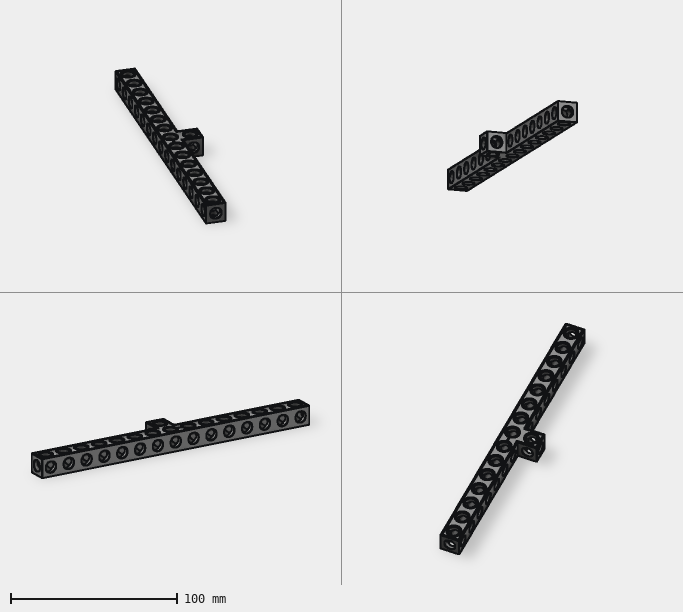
import cadquery as cq

length = 187.5
hole_count = 15
hole_diameter = 7.0
rim_diameter = 9.2
chamfer = 0.3
border_width = 1.0
recess_depth = 0.2
rib_width = 0.5

pitch = length / hole_count
half_cell = pitch / 2

bar_centres = [(i - (hole_count - 1) / 2) * pitch for i in range(hole_count)]
side_centres = [x for x in bar_centres if abs(x) > half_cell]
cell_centres = [(x, 0) for x in bar_centres] + [(0, pitch)]


def tee(height, inset=0.0):
    """T-shaped block centred on the XY plane: a long bar with a one-cell stem at mid-length."""
    bar = cq.Workplane("XY").box(length - 2 * inset, pitch - 2 * inset, height)
    stem = (
        cq.Workplane("XY")
        .box(pitch - 2 * inset, 2 * pitch - 2 * inset, height)
        .translate((0, half_cell, 0))
    )
    return bar.union(stem).clean()


def chamfered_body():
    """Block chamfered on every edge except the two vertical inside corners."""
    inside_corners = cq.selectors.BoxSelector(
        (-pitch, half_cell - chamfer, -chamfer), (pitch, half_cell + chamfer, chamfer)
    )
    return tee(pitch).edges(cq.selectors.InverseSelector(inside_corners)).chamfer(chamfer)


def top_recess():
    """Shallow pocket in the top face, leaving the border, the hole rims and one short rib."""
    rims = (
        cq.Workplane("XY")
        .pushPoints(cell_centres)
        .circle(rim_diameter / 2)
        .extrude(recess_depth, both=True)
    )
    rib = cq.Workplane("XY").box(pitch, rib_width, 2 * recess_depth).translate((half_cell, 0, 0))
    pocket = tee(2 * recess_depth, border_width).cut(rims).cut(rib)
    return pocket.translate((0, 0, half_cell))


def hole_cutter(hole_length):
    """Cutter along Z for a through hole with a chamfer at both mouths."""
    end = hole_length / 2
    radius = hole_diameter / 2
    return (
        cq.Workplane("XZ")
        .moveTo(0, -end)
        .lineTo(radius + chamfer, -end)
        .lineTo(radius, chamfer - end)
        .lineTo(radius, end - chamfer)
        .lineTo(radius + chamfer, end)
        .lineTo(0, end)
        .close()
        .revolve(360, (0, 0, 0), (0, 1, 0))
    )


def along_x(cutter):
    return cutter.rotate((0, 0, 0), (0, 1, 0), 90)


def along_y(cutter):
    return cutter.rotate((0, 0, 0), (1, 0, 0), 90)


cell_hole = hole_cutter(pitch)

cutters = [cell_hole.translate((x, y, 0)) for x, y in cell_centres]
cutters += [along_y(cell_hole).translate((x, 0, 0)) for x in side_centres]
cutters.append(along_y(hole_cutter(2 * pitch)).translate((0, half_cell, 0)))
cutters.append(along_x(cell_hole).translate((0, pitch, 0)))
cutters.append(along_x(hole_cutter(length)))

result = chamfered_body().cut(top_recess())
for cutter in cutters:
    result = result.cut(cutter)